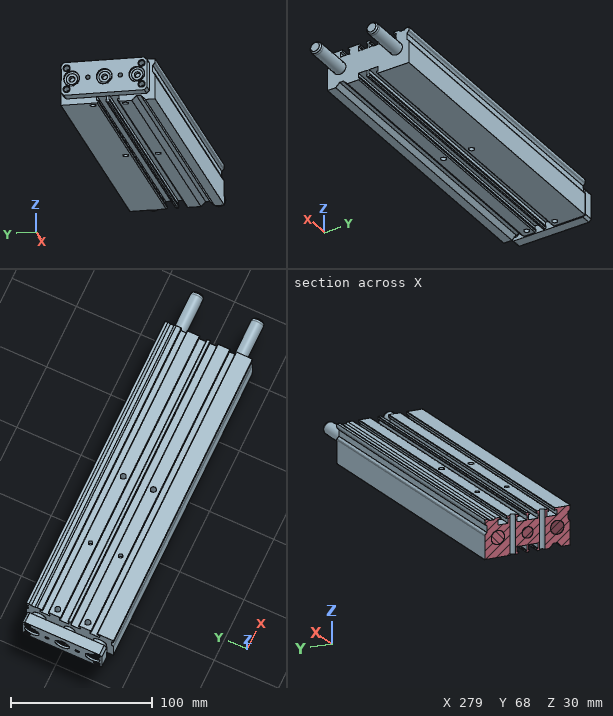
import cadquery as cq

TOTAL_LENGTH = 279.0
PLATE_THICKNESS = 8.0
HOUSING_START = 12.8
HOUSING_LENGTH = 233.2

HOUSING_WIDTH = 68.0
HOUSING_HEIGHT = 30.0
HALF_WIDTH = HOUSING_WIDTH / 2
HALF_HEIGHT = HOUSING_HEIGHT / 2

LIP_HEIGHT = 2.0
SLOT_DEPTH = 5.5
INNER_MOUTH = (1.5, 7.0)
INNER_CHAMBER = (0.8, 8.0)
OUTER_MOUTH = (16.7, 21.2)
OUTER_CHAMBER = (15.5, 23.2)
TOP_MOUTH_CHAMFER = 0.3
BOTTOM_MOUTH_CHAMFER = 0.8

SIDE_GROOVE_DEPTH = 1.7
SIDE_GROOVE_TOP = 12.0
SIDE_GROOVE_BOTTOM = 3.3
SIDE_GROOVE_SLOPE = 2.0
SIDE_GROOVE_EDGE_RADIUS = 1.0

EDGE_GROOVE_DEPTH = 1.0
EDGE_GROOVE_TOP = (25.5, 31.8)
EDGE_GROOVE_FLOOR = (27.0, 29.9)

BOTTOM_GROOVE_DEPTH = 3.3
BOTTOM_GROOVE_MOUTH = (-27.0, -17.3)
BOTTOM_GROOVE_FLOOR = (
    BOTTOM_GROOVE_MOUTH[0] + BOTTOM_GROOVE_DEPTH,
    BOTTOM_GROOVE_MOUTH[1] - BOTTOM_GROOVE_DEPTH,
)

MOUNT_HOLE_DIAMETER = 4.2
MOUNT_HOLE_OFFSET = 5.0
MOUNT_HOLE_SPACING = 110.0
HOLE_ROW_Y = 11.7
PIN_HOLE_DIAMETER = 3.0
PIN_HOLE_DEPTH = 5.5

PLATE_WIDTH = 62.0
PLATE_HEIGHT = 24.5
PLATE_CORNER_CHAMFER = 2.0
COUNTERBORE_DIAMETER = 11.2
COUNTERBORE_DEPTH = 1.7
CORNER_HOLE_Y = 27.0
CORNER_HOLE_Z = 7.8
CORNER_HOLE_DIAMETER = 4.0
CORNER_SINK_DIAMETER = 5.0

GUIDE_DIAMETER = 10.0
GUIDE_SPACING = 47.2
GUIDE_TAPER_LENGTH = 1.7
GUIDE_TAPER_DEPTH = 0.3
GUIDE_END_CHAMFER = 1.0
PISTON_DIAMETER = 8.0
PISTON_END_WALL = 11.2
SPIGOT_DIAMETER = PISTON_DIAMETER
SOCKET_DIAMETER = 4.2
SOCKET_DEPTH = 3.3

GUIDE_YS = (-GUIDE_SPACING / 2, GUIDE_SPACING / 2)
ROD_YS = (*GUIDE_YS, 0)
HOUSING_END = HOUSING_START + HOUSING_LENGTH
PISTON_END = HOUSING_END - PISTON_END_WALL


def bar(points, start, length):
    """Extrude a closed YZ outline along +X."""
    return cq.Workplane("YZ").workplane(offset=start).polyline(points).close().extrude(length)


def cylinder_x(diameter, start, end, y=0.0, z=0.0):
    """Round bar along X."""
    plane = cq.Workplane("YZ").workplane(offset=start).center(y, z)
    return plane.circle(diameter / 2).extrude(end - start)


def housing_groove(points):
    """Cutter running the full length of the housing."""
    return bar(points, HOUSING_START, HOUSING_LENGTH)


def trapezoid(mouth, floor, face_z, floor_z):
    """Four-point groove outline between a face and its floor."""
    return [(mouth[0], face_z), (mouth[1], face_z), (floor[1], floor_z), (floor[0], floor_z)]


def t_slot(mouth, chamber, chamfer, side, face):
    """T-slot cutter; side is the sign of Y, face is +1 for top and -1 for bottom."""
    near, far = mouth
    inside, outside = chamber
    lip_z = HALF_HEIGHT - LIP_HEIGHT
    floor_z = HALF_HEIGHT - SLOT_DEPTH
    bevel_z = HALF_HEIGHT - chamfer
    outline = [
        (near - chamfer, HALF_HEIGHT), (far + chamfer, HALF_HEIGHT), (far, bevel_z),
        (far, lip_z), (outside, lip_z), (outside, floor_z),
        (inside, floor_z), (inside, lip_z), (near, lip_z), (near, bevel_z),
    ]
    return housing_groove([(side * y, face * z) for y, z in outline])


def side_groove(side):
    """Groove with sloped flanks in one side face."""
    face_y = side * HALF_WIDTH
    floor_y = side * (HALF_WIDTH - SIDE_GROOVE_DEPTH)
    return housing_groove([
        (face_y, SIDE_GROOVE_TOP),
        (floor_y, SIDE_GROOVE_TOP - SIDE_GROOVE_SLOPE),
        (floor_y, SIDE_GROOVE_BOTTOM + SIDE_GROOVE_SLOPE),
        (face_y, SIDE_GROOVE_BOTTOM),
    ])


def top_holes(diameter, depth, xs):
    """Cutter for vertical holes in both hole rows, sunk from the top face."""
    points = [(x, y) for x in xs for y in (-HOLE_ROW_Y, HOLE_ROW_Y)]
    plane = cq.Workplane("XY").workplane(offset=HALF_HEIGHT)
    return plane.pushPoints(points).circle(diameter / 2).extrude(-depth)


def make_housing():
    body = cq.Workplane("XY").box(
        HOUSING_LENGTH, HOUSING_WIDTH, HOUSING_HEIGHT, centered=(False, True, True)
    ).translate((HOUSING_START, 0, 0))

    for side in (-1, 1):
        body = body.cut(side_groove(side))
        for z in (SIDE_GROOVE_TOP, SIDE_GROOVE_BOTTOM):
            edge_point = (HOUSING_START + HOUSING_LENGTH / 2, side * HALF_WIDTH, z)
            edge = body.edges(cq.selectors.NearestToPointSelector(edge_point))
            body = edge.fillet(SIDE_GROOVE_EDGE_RADIUS)

    for side in (-1, 1):
        body = body.cut(t_slot(OUTER_MOUTH, OUTER_CHAMBER, TOP_MOUTH_CHAMFER, side, 1))
        body = body.cut(t_slot(INNER_MOUTH, INNER_CHAMBER, TOP_MOUTH_CHAMFER, side, 1))
        body = body.cut(t_slot(INNER_MOUTH, INNER_CHAMBER, BOTTOM_MOUTH_CHAMFER, side, -1))
    body = body.cut(housing_groove(trapezoid(
        EDGE_GROOVE_TOP, EDGE_GROOVE_FLOOR, HALF_HEIGHT, HALF_HEIGHT - EDGE_GROOVE_DEPTH)))
    body = body.cut(housing_groove(trapezoid(
        BOTTOM_GROOVE_MOUTH, BOTTOM_GROOVE_FLOOR, -HALF_HEIGHT, BOTTOM_GROOVE_DEPTH - HALF_HEIGHT)))

    first_x = HOUSING_START + MOUNT_HOLE_OFFSET
    last_x = first_x + MOUNT_HOLE_SPACING
    body = body.cut(top_holes(MOUNT_HOLE_DIAMETER, HOUSING_HEIGHT, (first_x, last_x)))
    body = body.cut(top_holes(PIN_HOLE_DIAMETER, PIN_HOLE_DEPTH, ((first_x + last_x) / 2,)))

    for y in GUIDE_YS:
        body = body.cut(cylinder_x(GUIDE_DIAMETER, HOUSING_START, HOUSING_END, y))
    return body.cut(cylinder_x(PISTON_DIAMETER, HOUSING_START, PISTON_END))


def corner_sink(y, z):
    """45-degree countersink cone in the outer face of the plate."""
    radius = CORNER_SINK_DIAMETER / 2
    return cq.Workplane(cq.Solid.makeCone(radius, 0, radius, cq.Vector(0, y, z), cq.Vector(1, 0, 0)))


def make_plate():
    plate = cq.Workplane("XY").box(
        PLATE_THICKNESS, PLATE_WIDTH, PLATE_HEIGHT, centered=(False, True, True)
    ).edges("|X").chamfer(PLATE_CORNER_CHAMFER)

    for y in ROD_YS:
        plate = plate.cut(cylinder_x(SPIGOT_DIAMETER, 0, PLATE_THICKNESS, y))
        plate = plate.cut(cylinder_x(COUNTERBORE_DIAMETER, 0, COUNTERBORE_DEPTH, y))

    for y in (-HOLE_ROW_Y, HOLE_ROW_Y):
        plate = plate.cut(cylinder_x(PIN_HOLE_DIAMETER, 0, PLATE_THICKNESS, y))

    for y in (-CORNER_HOLE_Y, CORNER_HOLE_Y):
        for z in (-CORNER_HOLE_Z, CORNER_HOLE_Z):
            plate = plate.cut(cylinder_x(CORNER_HOLE_DIAMETER, 0, PLATE_THICKNESS, y, z))
            plate = plate.cut(corner_sink(y, z))
    return plate


def rod_socket(y):
    """Blind hole in the end of a rod."""
    return cylinder_x(SOCKET_DIAMETER, COUNTERBORE_DEPTH, COUNTERBORE_DEPTH + SOCKET_DEPTH, y)


def make_guide_rod(y):
    """Stepped rod: spigot in the plate, shaft, slight taper and chamfered far end."""
    radius = GUIDE_DIAMETER / 2
    taper_radius = radius - GUIDE_TAPER_DEPTH
    chamfer_start = TOTAL_LENGTH - GUIDE_END_CHAMFER
    half_outline = [
        (COUNTERBORE_DEPTH, 0),
        (COUNTERBORE_DEPTH, SPIGOT_DIAMETER / 2),
        (PLATE_THICKNESS, SPIGOT_DIAMETER / 2),
        (PLATE_THICKNESS, radius),
        (chamfer_start - GUIDE_TAPER_LENGTH, radius),
        (chamfer_start, taper_radius),
        (TOTAL_LENGTH, taper_radius - GUIDE_END_CHAMFER),
        (TOTAL_LENGTH, 0),
    ]
    rod = cq.Workplane("XY").polyline(half_outline).close().revolve(360, (0, 0), (1, 0))
    return rod.translate((0, y, 0)).cut(rod_socket(y))


def make_piston_rod():
    return cylinder_x(PISTON_DIAMETER, COUNTERBORE_DEPTH, PISTON_END).cut(rod_socket(0))


housing = make_housing()
plate = make_plate()
guide_rods = [make_guide_rod(y) for y in GUIDE_YS]
piston_rod = make_piston_rod()

result = cq.Compound.makeCompound([
    housing.val(),
    plate.val(),
    *[rod.val() for rod in guide_rods],
    piston_rod.val(),
])